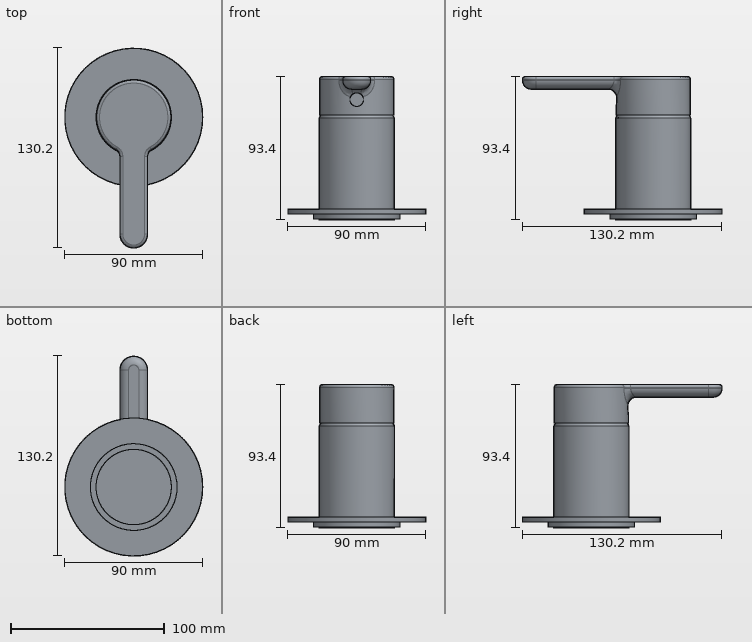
import cadquery as cq

total_height = 93.4
total_length = 130.2

plate_diameter = 90.0
plate_radius = plate_diameter / 2
plate_bottom = 3.6
plate_top = 6.9
collar_radius = 28.3
collar_bottom = 0.4

housing_diameter = 49.1
housing_radius = housing_diameter / 2
housing_top = 68.3
housing_chamfer_width = 1.0
housing_chamfer_height = 2.0
housing_shoulder_radius = 1.5

cap_radius = 24.2
lever_width = 18.1
lever_thickness = 8.3
lever_under_radius = 5.7
lever_root_radius = 5.0
top_edge_radius = 2.0
lever_tip_y = plate_radius - total_length

spot_radius = 4.4
spot_height = 78.3
spot_depth = 0.4


def cylinder(radius, bottom, top):
    """Upright cylinder on the mixer axis between two heights."""
    return cq.Workplane("XY").workplane(offset=bottom).circle(radius).extrude(top - bottom)


def make_plate():
    """Round plate and collar with a through bore for the housing."""
    plate = cylinder(plate_radius, plate_bottom, plate_top)
    collar = cylinder(collar_radius, collar_bottom, plate_bottom)
    bore = cylinder(housing_radius, 0, plate_top)
    return plate.union(collar).cut(bore)


def make_housing():
    """Plain cylinder with a chamfered upper rim, rounded where the chamfer meets the side."""
    housing = cylinder(housing_radius, 0, housing_top)
    housing = housing.faces(">Z").edges().chamfer(housing_chamfer_height, housing_chamfer_width)
    shoulder = cq.selectors.RadiusNthSelector(-1)
    return housing.edges("%CIRCLE and (not <Z)").edges(shoulder).fillet(housing_shoulder_radius)


def make_lever():
    """Flat bar with a round tip and a rounded underside, starting on the mixer axis."""
    half_width = lever_width / 2
    tip_center_y = lever_tip_y + half_width
    bar = (
        cq.Workplane("XY")
        .workplane(offset=total_height - lever_thickness)
        .moveTo(half_width, 0)
        .lineTo(half_width, tip_center_y)
        .threePointArc((0, lever_tip_y), (-half_width, tip_center_y))
        .lineTo(-half_width, 0)
        .close()
        .extrude(lever_thickness)
    )
    return bar.edges("<Z and (not >Y)").fillet(lever_under_radius)


def make_handle():
    """Cap and lever blended together, with a rounded top rim and the flat spot."""
    handle = cylinder(cap_radius, housing_top, total_height).union(make_lever())

    joint = cq.selectors.BoxSelector(
        (-lever_width, -cap_radius - top_edge_radius, total_height - lever_thickness - top_edge_radius),
        (lever_width, -cap_radius / 2, total_height - top_edge_radius),
        boundingbox=False,
    )
    handle = handle.edges(joint).fillet(lever_root_radius)
    handle = handle.faces(">Z").edges().fillet(top_edge_radius)

    spot = (
        cq.Workplane("XZ", origin=(0, spot_depth - cap_radius, spot_height))
        .circle(spot_radius)
        .extrude(lever_root_radius)
    )
    return handle.cut(spot)


plate = make_plate()
housing = make_housing()
handle = make_handle()

result = cq.Compound.makeCompound([plate.val(), housing.val(), handle.val()])